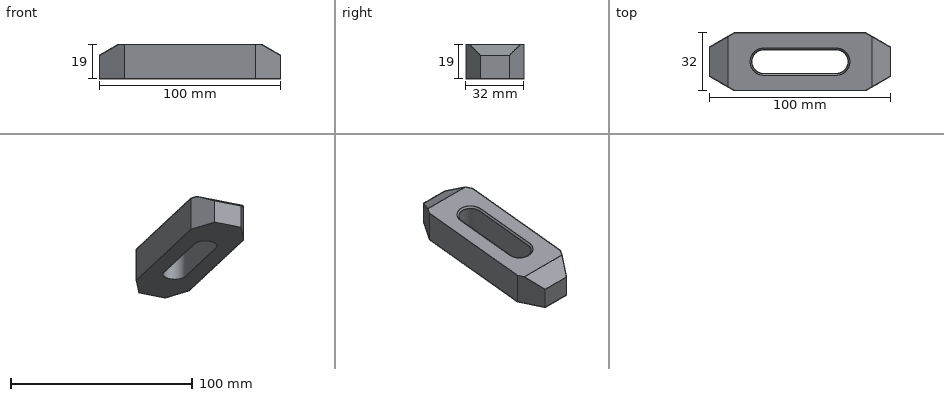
import cadquery as cq
import math

length = 100.0
width = 32.0
height = 19.0

taper_angle = math.radians(30)
end_width = 16.0
end_height = 13.0
side_taper_length = (width - end_width) / 2 / math.tan(taper_angle)
top_taper_length = (height - end_height) / math.tan(taper_angle)

slot_length = 53.0
slot_width = 13.0
rim_chamfer = 1.0


def tapered_plan():
    """Full-height block whose ends narrow in plan."""
    half_length = length / 2
    shoulder = half_length - side_taper_length
    outline = [
        (-half_length, -end_width / 2),
        (-shoulder, -width / 2),
        (shoulder, -width / 2),
        (half_length, -end_width / 2),
        (half_length, end_width / 2),
        (shoulder, width / 2),
        (-shoulder, width / 2),
        (-half_length, end_width / 2),
    ]
    return cq.Workplane("XY").polyline(outline).close().extrude(height)


def tapered_profile():
    """Full-width block whose ends slope down from the top face."""
    half_length = length / 2
    top_edge = half_length - top_taper_length
    outline = [
        (-half_length, 0),
        (half_length, 0),
        (half_length, end_height),
        (top_edge, height),
        (-top_edge, height),
        (-half_length, end_height),
    ]
    return cq.Workplane("XZ").polyline(outline).close().extrude(width / 2, both=True)


def cut_slot(body):
    """Cut the round-ended slot and chamfer its upper rim."""
    slotted = body.cut(cq.Workplane("XY").slot2D(slot_length, slot_width).extrude(height))
    rim = cq.selectors.BoxSelector(
        (-slot_length / 2 - rim_chamfer, -slot_width / 2 - rim_chamfer, height - rim_chamfer / 2),
        (slot_length / 2 + rim_chamfer, slot_width / 2 + rim_chamfer, height + rim_chamfer / 2),
        boundingbox=True,
    )
    return slotted.faces(">Z").edges(rim).chamfer(rim_chamfer)


result = cut_slot(tapered_plan().intersect(tapered_profile()))